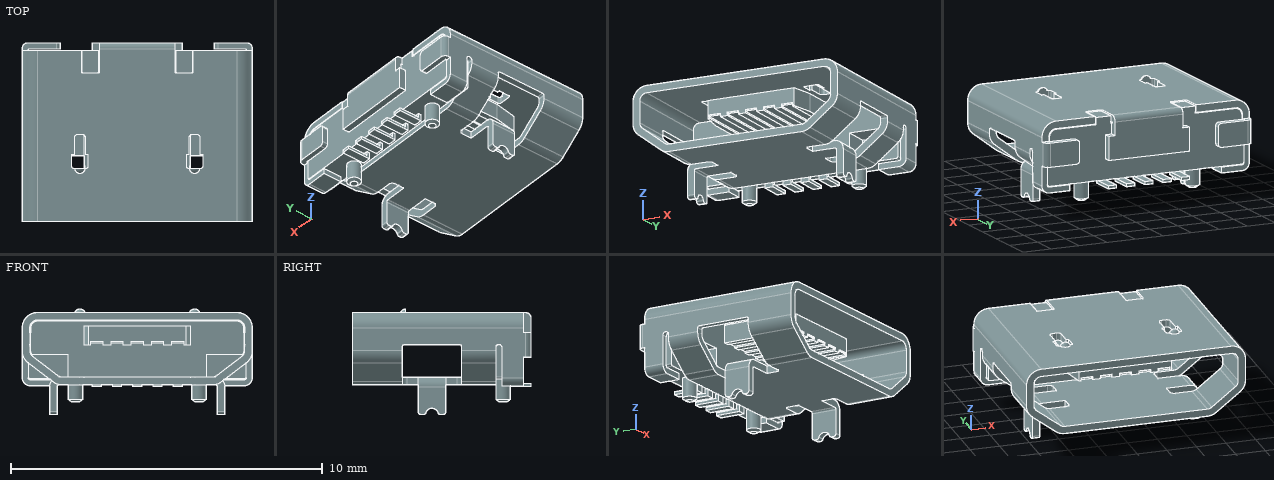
import cadquery as cq
import math


half_width = 3.7
tube_height = 2.33
sheet = 0.25
bend_radius = 0.495
knee_height = 0.86
floor_half_width = 2.575
tube_length = 4.61
shell_length = 5.505
rear_end = 5.75
bend_gap = 0.06

thin_sheet = 0.2
foot_bottom = -0.03
foot_inner_x = 2.7
relief_width = 0.2
relief_top = 1.295

window_front = 1.61
window_rear = 3.51
window_top = 1.29
window_inner_x = 1.71
window_top_radius = 0.06
window_floor_radius = 0.14
leg_width = 0.895
leg_outer_x = 2.82
leg_bottom = -0.955
leg_notch_radius = 0.2
leg_tip_radius = 0.095

latch_x = 1.84
latch_front = 1.72
latch_step = 2.16
latch_rear = 2.805
latch_wide = 0.525
latch_narrow = 0.36
latch_wide_radius = 0.06
latch_narrow_radius = 0.11
bump_radius = 0.18
bump_top = 2.44
notch_inner_x = 1.21
notch_outer_x = 1.8
notch_front = 4.77
notch_radius = 0.045

flap_bottom = 0.89
flap_step = 1.69
middle_flap_half = 1.435
middle_bend_radius = 0.19
side_flap_inner_x = 2.47
side_flap_corner = 0.12
side_bend_radius = 0.18

clearance = 0.02
housing_front = 3.7
housing_bottom = 0.19
core_half_width = 2.23
core_step = 0.97
boss_top = 2.295
boss_gap = 0.03
tongue_half_width = 1.71
tongue_bottom = 1.29
tongue_top = 1.89
tongue_tip = 1.11
tongue_taper = 0.15
tongue_taper_start = 1.925
peg_x = 1.98
peg_y = 4.85
peg_radius = 0.24
peg_bottom = -0.55
peg_tip_height = 0.08
peg_tip_inset = 0.11

contact_count = 5
contact_pitch = 0.65
contact_width = 0.39
contact_thickness = 0.05
groove_depth = 0.1
groove_top = tongue_bottom + groove_depth
contact_reach = 0.02
tail_width = 0.295
tail_bottom = -0.05
tail_thickness = 0.1
tail_front = 4.885


def block(x, y, z):
    """Box between the two limits given for each axis."""
    size = (x[1] - x[0], y[1] - y[0], z[1] - z[0])
    return cq.Workplane("XY").box(*size, centered=False).translate((x[0], y[0], z[0]))


def across(y_start, y_end, points):
    """Polygon of (x, z) points, extruded from y_start to y_end."""
    return cq.Workplane("XZ", origin=(0, y_start, 0)).polyline(points).close().extrude(y_start - y_end)


def both_sides(part):
    """The part on the +X side together with its mirror image."""
    return part.union(part.mirror("YZ"))


def tube_prism(inset, y_start, y_end):
    """Solid with the outline of the tube, moved inward by the inset."""
    slope = math.atan2(knee_height, half_width - floor_half_width)
    side_x = half_width - inset
    knee_z = knee_height + inset * math.tan((math.pi / 2 - slope) / 2)
    floor_x = floor_half_width - inset * math.tan(slope / 2)
    right = [(floor_x, inset), (side_x, knee_z), (side_x, tube_height - inset)]
    left = [(-x, z) for x, z in reversed(right)]
    return across(y_start, y_end, right + left).edges("|Y").fillet(bend_radius - inset)


def rear_channel():
    """Roof, side walls and inward feet behind the tube."""
    y = (tube_length, shell_length)
    outer = block((-half_width, half_width), y, (foot_bottom, tube_height))
    outer = outer.edges("|Y and >Z").fillet(bend_radius)
    outer = outer.edges("|Y and <Z").fillet(thin_sheet + bend_gap)
    inner_x = half_width - sheet
    inner = block((-inner_x, inner_x), y, (relief_top, tube_height - sheet))
    inner = inner.edges("|Y and >Z").fillet(bend_radius - sheet)
    thin_x = half_width - thin_sheet
    lower = block((-thin_x, thin_x), y, (foot_bottom + thin_sheet, relief_top))
    lower = lower.edges("|Y and <Z").fillet(bend_gap)
    opening = block((-foot_inner_x, foot_inner_x), y, (foot_bottom, housing_bottom))
    return outer.cut(inner).cut(lower).cut(opening)


def relief_slots():
    """Round-topped slots that free the rear side walls from the tube."""
    x = (-half_width, half_width)
    radius = relief_width / 2
    arch_height = relief_top - radius
    slot = block(x, (tube_length, tube_length + relief_width), (foot_bottom, arch_height))
    arch = cq.Workplane("YZ", origin=(-half_width, tube_length + radius, arch_height)).circle(radius)
    return slot.union(arch.extrude(2 * half_width))


def side_window():
    """Opening through the side wall, the sloped wall and the edge of the floor."""
    y = (window_front, window_rear)
    upper = block((floor_half_width, half_width), y, (0, window_top))
    upper = upper.edges("|X and >Z").fillet(window_top_radius)
    lower = block((window_inner_x, half_width), y, (0, sheet))
    lower = lower.edges("|Z and <X").fillet(window_floor_radius)
    slope_gap = block((window_inner_x + window_floor_radius, half_width), y, (sheet, knee_height))
    return upper.union(lower).union(slope_gap)


def solder_leg():
    """Tab of the floor bent down into a leg with a notched end."""
    y_middle = (window_front + window_rear) / 2
    y = (y_middle - leg_width / 2, y_middle + leg_width / 2)
    inner_face = leg_outer_x - sheet
    bend_x = inner_face - bend_gap
    outer_bend = sheet + bend_gap
    diagonal = math.sqrt(0.5)
    profile = (
        cq.Workplane("XZ", origin=(0, y[0], 0))
        .moveTo(window_inner_x, 0)
        .lineTo(window_inner_x, sheet)
        .lineTo(bend_x, sheet)
        .threePointArc(
            (bend_x + outer_bend * diagonal, outer_bend * diagonal - bend_gap), (leg_outer_x, -bend_gap)
        )
        .lineTo(leg_outer_x, leg_bottom)
        .lineTo(inner_face, leg_bottom)
        .lineTo(inner_face, -bend_gap)
        .threePointArc((bend_x + bend_gap * diagonal, bend_gap * diagonal - bend_gap), (bend_x, 0))
        .close()
    )
    leg = profile.extrude(-leg_width)
    notch = (
        cq.Workplane("YZ", origin=(inner_face, y_middle, leg_bottom)).circle(leg_notch_radius).extrude(sheet)
    )
    leg = leg.cut(notch)
    tips = cq.selectors.BoxSelector(
        (inner_face - bend_gap, y[0] - bend_gap, leg_bottom - bend_gap),
        (leg_outer_x + bend_gap, y[1] + bend_gap, leg_bottom + bend_gap),
    )
    return leg.edges("|X").edges(tips).fillet(leg_tip_radius)


def latch_hole():
    """Stepped hole in the roof for a latch of the plug."""
    z = (tube_height - sheet, tube_height)
    wide = block((latch_x - latch_wide / 2, latch_x + latch_wide / 2), (latch_front, latch_step), z)
    wide = wide.edges("|Z and <Y").fillet(latch_wide_radius)
    narrow_x = (latch_x - latch_narrow / 2, latch_x + latch_narrow / 2)
    narrow = block(narrow_x, (latch_front + latch_wide_radius, latch_rear), z)
    narrow = narrow.edges("|Z and >Y").fillet(latch_narrow_radius)
    return wide.union(narrow)


def latch_bump():
    """Quarter dome on the roof at the front edge of the latch hole."""
    dome = cq.Workplane("XY").sphere(bump_radius).translate((latch_x, latch_front, bump_top - bump_radius))
    keep = block(
        (latch_x - bump_radius, latch_x + bump_radius),
        (latch_front - bump_radius, latch_front),
        (tube_height - sheet / 2, bump_top),
    )
    return dome.intersect(keep)


def roof_notch():
    """Notch in the rear edge of the roof, beside the middle flap."""
    notch = block(
        (notch_inner_x, notch_outer_x), (notch_front, shell_length), (tube_height - sheet, tube_height)
    )
    return notch.edges("|Z and <Y").fillet(notch_radius)


def middle_flap():
    """Tongue of the roof bent down behind the housing, wider in its lower part."""
    y = (shell_length, rear_end)
    neck = block((-notch_inner_x, notch_inner_x), y, (flap_bottom, tube_height))
    neck = neck.edges("|X and >Y and >Z").fillet(middle_bend_radius)
    wide = block((-middle_flap_half, middle_flap_half), y, (flap_bottom, flap_step))
    return neck.union(wide)


def side_flap():
    """Strip of the side wall bent inward behind the housing."""
    z = (flap_bottom, flap_step)
    flap = block((side_flap_inner_x, half_width), (rear_end - thin_sheet, rear_end), z)
    flap = flap.edges("|Y and <X").fillet(side_flap_corner)
    root = block((half_width - thin_sheet, half_width), (shell_length, rear_end), z)
    return flap.union(root).edges("|Z and >X and >Y").fillet(side_bend_radius)


def make_shell():
    tube = tube_prism(0, 0, tube_length).cut(tube_prism(sheet, 0, tube_length))
    shell = tube.union(rear_channel()).cut(relief_slots())
    shell = shell.cut(both_sides(side_window())).union(both_sides(solder_leg()))
    shell = shell.cut(both_sides(latch_hole())).union(both_sides(latch_bump()))
    shell = shell.cut(both_sides(roof_notch()))
    return shell.union(middle_flap()).union(both_sides(side_flap()))


def housing_block():
    """Front block inside the tube and full-width rear block behind it."""
    front = tube_prism(sheet + clearance, housing_front, tube_length)
    front = front.union(
        block((-core_half_width, core_half_width), (housing_front, tube_length), (sheet, core_step))
    )
    corner = block((core_half_width, half_width), (housing_front, tube_length), (0, core_step))
    front = front.cut(both_sides(corner))

    y = (tube_length, shell_length)
    upper_x = half_width - sheet - clearance
    upper = block((-upper_x, upper_x), y, (housing_bottom, tube_height - sheet - clearance))
    upper = upper.edges("|Y and >Z").fillet(bend_radius - sheet - clearance)
    lower_x = half_width - thin_sheet
    lower = block((-lower_x, lower_x), y, (housing_bottom, relief_top))
    lower = lower.edges("|Y and <Z").fillet(bend_gap)
    return front.union(upper).union(lower)


def notch_boss():
    """Pad of the housing that stands in a roof notch."""
    x = (notch_inner_x + boss_gap, notch_outer_x - boss_gap)
    boss = block(x, (notch_front, shell_length), (housing_bottom, boss_top))
    return boss.edges("|Z and <Y").fillet(notch_radius)


def tongue():
    """Flat tongue with a tapered tip."""
    right = [
        (tongue_half_width - tongue_taper, tongue_tip),
        (tongue_half_width, tongue_taper_start),
        (tongue_half_width, housing_front),
    ]
    left = [(-x, y) for x, y in reversed(right)]
    outline = cq.Workplane("XY", origin=(0, 0, tongue_bottom)).polyline(right + left).close()
    return outline.extrude(tongue_top - tongue_bottom)


def peg():
    """Locating peg under the rear block."""
    pin = cq.Workplane("XY", origin=(peg_x, peg_y, peg_bottom)).circle(peg_radius)
    return pin.extrude(housing_bottom - peg_bottom).faces("<Z").chamfer(peg_tip_height, peg_tip_inset)


def contact_groove(x):
    """Groove under the tongue for one contact."""
    half = contact_width / 2
    return block((x - half, x + half), (tongue_tip, housing_front), (tongue_bottom, groove_top))


def contact_blade(x):
    """Contact strip at the top of its groove."""
    half = contact_width / 2
    return block(
        (x - half, x + half),
        (tongue_tip - contact_reach, housing_front),
        (groove_top - contact_thickness, groove_top),
    )


def contact_tail(x):
    """Solder tail that drops from the rear block and runs out to the rear."""
    x_limits = (x - tail_width / 2, x + tail_width / 2)
    foot = block(x_limits, (tail_front, rear_end), (tail_bottom, tail_bottom + tail_thickness))
    riser = block(x_limits, (tail_front, tail_front + tail_thickness), (tail_bottom, housing_bottom))
    return foot.union(riser)


def make_housing():
    housing = housing_block().union(both_sides(notch_boss())).union(tongue()).union(both_sides(peg()))
    for number in range(contact_count):
        x = (number - (contact_count - 1) / 2) * contact_pitch
        housing = housing.cut(contact_groove(x)).union(contact_blade(x)).union(contact_tail(x))
    return housing


shell = make_shell()
housing = make_housing()
result = cq.Compound.makeCompound([*shell.solids().vals(), *housing.solids().vals()])